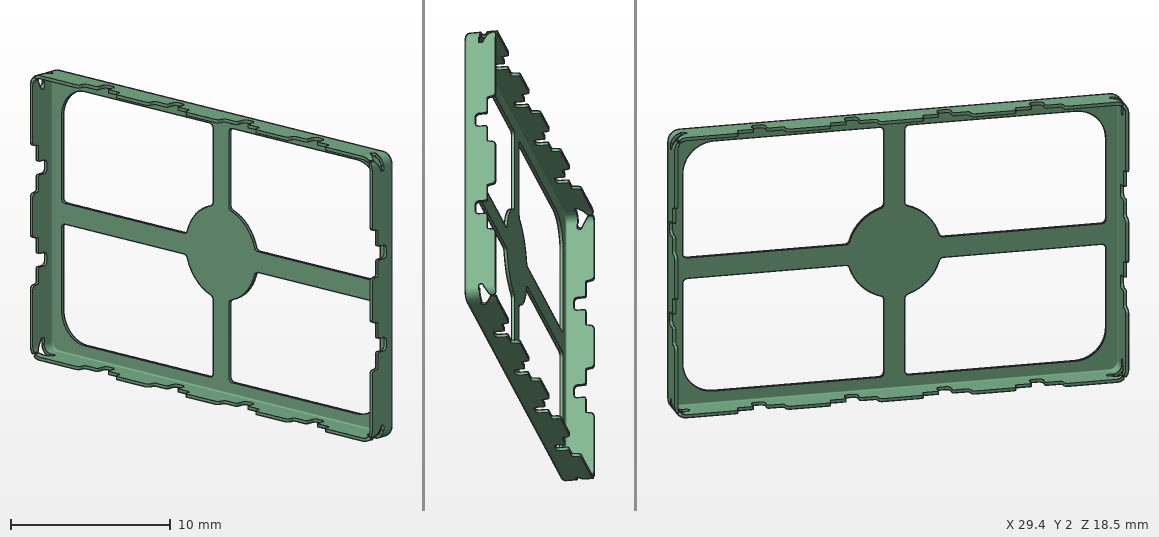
import cadquery as cq
import math

LENGTH = 29.35
DEPTH = 2.0
HEIGHT = 18.5

SHEET = 0.2
BACK_BEND_RADIUS = 0.3
CORNER_RADIUS = 0.8

RIM_WIDTH = 1.0
SPOKE_WIDTH = 1.35
HUB_RADIUS = 3.02
WINDOW_CORNER_RADIUS = 2.0
WINDOW_FILLET = 0.3

NOTCH_PITCH = 6.0
LONG_WALL_NOTCHES = 4
SHORT_WALL_NOTCHES = 2
STEP_DEPTH = 0.53
STEP_WIDTH = 3.0
MOUTH_WIDTH = 3.17
STEP_FILLET = 0.12
MOUTH_FILLET = 0.23
SLOT_DEPTH = 1.3
SLOT_WIDTH = 0.88
SLOT_FILLET = 0.25

SEAM_WIDTH = 0.1
SEAM_DEPTH = 0.35
SEAM_MOUTH_FILLET = 0.15
RELIEF_BASE_DEPTH = 1.03
LOBE_RADIUS = 0.18
LOBE_OFFSET = 0.53
LOBE_DEPTH = 0.9
RELIEF_REACH = 1.17

CLEARANCE = 0.3

FRONT = -DEPTH / 2
BACK = DEPTH / 2


def rounded_block(length, height, y_front, y_back, corner_radius, back_radius):
    """Block with its corners rounded along Y and its back edge rounded over."""
    return (
        cq.Workplane("XY")
        .box(length, y_back - y_front, height)
        .translate((0, (y_front + y_back) / 2, 0))
        .edges("|Y")
        .fillet(corner_radius)
        .faces(">Y")
        .edges()
        .fillet(back_radius)
    )


def make_tray():
    """Thin tray, open toward -Y."""
    outer = rounded_block(LENGTH, HEIGHT, FRONT, BACK, CORNER_RADIUS, BACK_BEND_RADIUS)
    cavity = rounded_block(
        LENGTH - 2 * SHEET,
        HEIGHT - 2 * SHEET,
        FRONT - SHEET,
        BACK - SHEET,
        CORNER_RADIUS - SHEET,
        BACK_BEND_RADIUS - SHEET,
    )
    return outer.cut(cavity)


def make_window():
    """Cutter for the window in the +X, +Z quarter of the back plate."""
    near = SPOKE_WIDTH / 2
    far_x = LENGTH / 2 - RIM_WIDTH
    far_z = HEIGHT / 2 - RIM_WIDTH
    block = (
        cq.Workplane("XY")
        .box(far_x - near, DEPTH, far_z - near, centered=False)
        .translate((near, 0, near))
    )
    hub = cq.Workplane("XZ").circle(HUB_RADIUS).extrude(DEPTH, both=True)
    window = block.cut(hub)
    outer_corner = cq.selectors.NearestToPointSelector((far_x, DEPTH / 2, far_z))
    window = window.edges(outer_corner).fillet(WINDOW_CORNER_RADIUS)
    hub_reach = math.sqrt(HUB_RADIUS**2 - near**2)
    for x, z in ((near, hub_reach), (hub_reach, near), (near, far_z), (far_x, near)):
        corner = cq.selectors.NearestToPointSelector((x, DEPTH / 2, z))
        window = window.edges(corner).fillet(WINDOW_FILLET)
    return window


def lip(mouth_x):
    """Outline points that widen a cutter outside the front edge, ending at its mouth.

    The lip leaves a corner at the mouth that can be rounded.
    """
    lip_x = mouth_x + CLEARANCE
    return [(lip_x, FRONT - CLEARANCE), (lip_x, FRONT), (mouth_x, FRONT)]


def symmetric_outline(right_side):
    """Closed outline from its +X half, mirrored about the Y axis."""
    left_side = [(-x, y) for x, y in reversed(right_side)]
    return cq.Workplane("XY").polyline(right_side + left_side).close()


def fillet_pair(body, point, radius):
    """Round the edge nearest to a point and its mirror image at -X."""
    x, y, z = point
    for side_x in (x, -x):
        corner = cq.selectors.NearestToPointSelector((side_x, y, z))
        body = body.edges(corner).fillet(radius)
    return body


def make_notch(wall_span):
    """Cutter for one notch, running through both facing walls along Z."""
    step_y = FRONT + STEP_DEPTH
    slot_y = FRONT + SLOT_DEPTH
    mouth_x = MOUTH_WIDTH / 2
    right_side = lip(mouth_x) + [
        (STEP_WIDTH / 2, step_y),
        (SLOT_WIDTH / 2, step_y),
        (SLOT_WIDTH / 2, slot_y),
    ]
    notch = symmetric_outline(right_side).extrude(wall_span, both=True)
    notch = notch.faces(">Y").edges("|Z").fillet(SLOT_FILLET)
    for x in (STEP_WIDTH / 2, SLOT_WIDTH / 2):
        notch = fillet_pair(notch, (x, step_y, 0), STEP_FILLET)
    return fillet_pair(notch, (mouth_x, FRONT, 0), MOUTH_FILLET)


def notch_positions(count):
    """Centres of evenly spaced notches about the middle of a wall."""
    return [(i - (count - 1) / 2) * NOTCH_PITCH for i in range(count)]


def make_corner_relief():
    """Cutter for one corner: a two-lobed opening that narrows into a seam.

    It is centred on the +Z axis; the seam runs on to the front edge.
    """
    lobe_y = FRONT + LOBE_DEPTH
    seam_x = SEAM_WIDTH / 2
    seam_y = FRONT + SEAM_DEPTH
    run = LOBE_OFFSET - seam_x
    rise = lobe_y - seam_y
    angle = math.atan2(rise, run) - math.asin(LOBE_RADIUS / math.hypot(run, rise))
    tangent_x = LOBE_OFFSET + LOBE_RADIUS * math.sin(angle)
    tangent_y = lobe_y - LOBE_RADIUS * math.cos(angle)
    right_side = lip(seam_x) + [
        (seam_x, seam_y),
        (tangent_x, tangent_y),
        (LOBE_OFFSET, lobe_y),
        (LOBE_OFFSET, FRONT + RELIEF_BASE_DEPTH),
    ]
    relief = symmetric_outline(right_side).extrude(RELIEF_REACH)
    relief = fillet_pair(relief, (seam_x, FRONT, RELIEF_REACH / 2), SEAM_MOUTH_FILLET)
    lobes = (
        cq.Workplane("XY")
        .pushPoints([(-LOBE_OFFSET, lobe_y), (LOBE_OFFSET, lobe_y)])
        .circle(LOBE_RADIUS)
        .extrude(RELIEF_REACH)
    )
    return relief.union(lobes)


tray = make_tray()

window = make_window()
for quarter in (window, window.mirror("YZ")):
    tray = tray.cut(quarter).cut(quarter.mirror("XY"))

notch = make_notch(LENGTH)
for x in notch_positions(LONG_WALL_NOTCHES):
    tray = tray.cut(notch.translate((x, 0, 0)))
side_notch = notch.rotate((0, 0, 0), (0, 1, 0), 90)
for z in notch_positions(SHORT_WALL_NOTCHES):
    tray = tray.cut(side_notch.translate((0, 0, z)))

corner_relief = make_corner_relief()
bend_x = LENGTH / 2 - CORNER_RADIUS
bend_z = HEIGHT / 2 - CORNER_RADIUS
for side_x in (-1, 1):
    for side_z in (-1, 1):
        outward = math.degrees(math.atan2(side_x, side_z))
        cutter = corner_relief.rotate((0, 0, 0), (0, 1, 0), outward)
        tray = tray.cut(cutter.translate((side_x * bend_x, 0, side_z * bend_z)))

result = tray